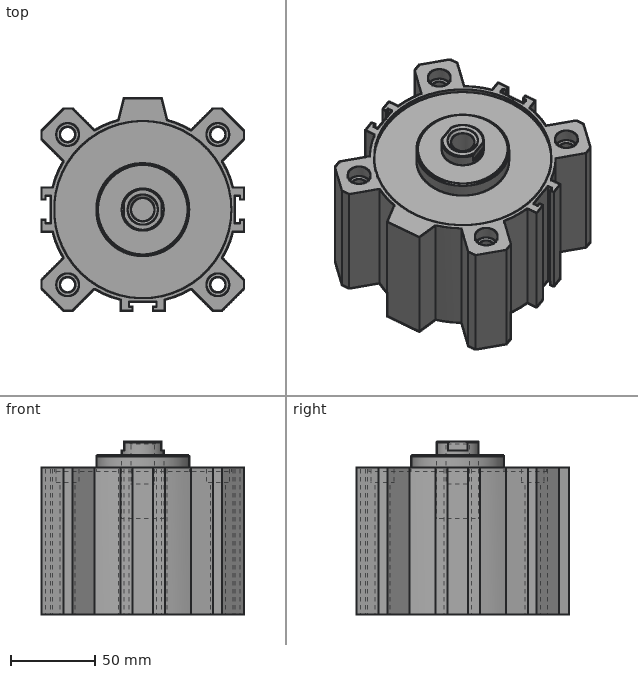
import cadquery as cq
import math

body_height = 87.1
barrel_diameter = 110.0
half_side = 60.0
overall_depth = 126.0

lug_angles = (45, 135, 225, 315)
lug_width = 26.0
lug_reach = 75.5
mount_hole_offset = 44.5
mount_hole_diameter = 9.0
counterbore_diameter = 13.5
counterbore_depth = 8.8

rail_angles = (0, 180, 270)
rail_width = 26.2
slot_width = 16.1
slot_mouth_width = 12.0
slot_lip = 2.5
slot_depth = 5.4

port_block_top_width = 22.4
port_block_taper = 14.0
port_block_root = 3.2

recess_diameter = 105.0
recess_depth = 2.5
boss_diameter = 55.0
boss_top = 94.5
boss_chamfer = 1.0

rod_diameter = 25.0
rod_top = 102.5
rod_chamfer = 0.5
rod_insertion = 37.8
rod_flats_width = 22.0
rod_flats_height = 5.3
rod_hole_diameter = 13.9
rod_hole_depth = 25.2
rod_hole_mouth_diameter = 17.9
rod_hole_mouth_height = 1.5

rod_bottom = boss_top - rod_insertion


def make_lug(angle):
    """Rectangular arm along one diagonal, its corners cut off by the limiting square."""
    arm = cq.Workplane("XY").rect(lug_reach, lug_width).extrude(body_height)
    arm = arm.translate((lug_reach / 2, 0, 0)).rotate((0, 0, 0), (0, 0, 1), angle)
    limit = cq.Workplane("XY").rect(2 * half_side, 2 * half_side).extrude(body_height)
    return arm.intersect(limit)


def make_rail(angle):
    """Plain rail block from the axis out to the limiting square."""
    rail = cq.Workplane("XY").rect(half_side, rail_width).extrude(body_height)
    return rail.translate((half_side / 2, 0, 0)).rotate((0, 0, 0), (0, 0, 1), angle)


def make_t_slot(angle):
    """Cutter for the T-slot of one rail."""
    mouth = (
        cq.Workplane("XY")
        .center(half_side - slot_depth / 2, 0)
        .rect(slot_depth, slot_mouth_width)
        .extrude(body_height)
    )
    pocket_depth = slot_depth - slot_lip
    pocket = (
        cq.Workplane("XY")
        .center(half_side - slot_lip - pocket_depth / 2, 0)
        .rect(pocket_depth, slot_width)
        .extrude(body_height)
    )
    return mouth.union(pocket).rotate((0, 0, 0), (0, 0, 1), angle)


def make_port_block():
    """Trapezoid rooted in the barrel, narrowing toward the +Y end."""
    block_end = overall_depth - half_side
    block_start = barrel_diameter / 2 - port_block_root
    half_top = port_block_top_width / 2
    taper_slope = math.tan(math.radians(port_block_taper))
    half_base = half_top + (block_end - block_start) * taper_slope
    outline = [
        (-half_base, block_start),
        (half_base, block_start),
        (half_top, block_end),
        (-half_top, block_end),
    ]
    return cq.Workplane("XY").polyline(outline).close().extrude(body_height)


def make_housing():
    """Barrel with lugs, rails, port block, mounting holes, recessed face, boss and rod seat."""
    housing = cq.Workplane("XY").circle(barrel_diameter / 2).extrude(body_height)
    for angle in lug_angles:
        housing = housing.union(make_lug(angle))

    for angle in rail_angles:
        housing = housing.union(make_rail(angle))
    for angle in rail_angles:
        housing = housing.cut(make_t_slot(angle))
    housing = housing.union(make_port_block())

    housing = (
        housing.faces(">Z").workplane(origin=(0, 0, body_height))
        .rect(2 * mount_hole_offset, 2 * mount_hole_offset, forConstruction=True)
        .vertices()
        .cboreHole(mount_hole_diameter, counterbore_diameter, counterbore_depth)
    )

    recess_floor = cq.Workplane("XY", origin=(0, 0, body_height - recess_depth))
    housing = housing.cut(recess_floor.circle(recess_diameter / 2).extrude(recess_depth))
    boss = (
        recess_floor.circle(boss_diameter / 2)
        .extrude(boss_top - body_height + recess_depth)
        .faces(">Z").chamfer(boss_chamfer)
    )
    housing = housing.union(boss)

    rod_seat = cq.Workplane("XY", origin=(0, 0, rod_bottom)).circle(rod_diameter / 2)
    return housing.cut(rod_seat.extrude(rod_insertion))


def make_rod():
    """Round rod with two wrench flats and a blind hole in its outer end."""
    rod = (
        cq.Workplane("XY", origin=(0, 0, rod_bottom))
        .circle(rod_diameter / 2)
        .extrude(rod_top - rod_bottom)
        .faces(">Z").chamfer(rod_chamfer)
    )

    flats_plane = cq.Workplane("XY", origin=(0, 0, rod_top - rod_flats_height))
    flats = flats_plane.circle(rod_diameter).rect(rod_flats_width, rod_diameter).extrude(rod_flats_height)
    rod = rod.cut(flats)

    hole_radius = rod_hole_diameter / 2
    mouth_radius = rod_hole_mouth_diameter / 2
    hole_bottom = rod_top - rod_hole_depth
    hole = (
        cq.Workplane("XZ")
        .moveTo(0, hole_bottom)
        .lineTo(hole_radius, hole_bottom)
        .lineTo(hole_radius, rod_top - rod_hole_mouth_height)
        .lineTo(mouth_radius, rod_top)
        .lineTo(0, rod_top)
        .close()
        .revolve(360, (0, 0, 0), (0, 1, 0))
    )
    return rod.cut(hole)


housing = make_housing()
rod = make_rod()

result = cq.Compound.makeCompound([housing.val(), rod.val()])